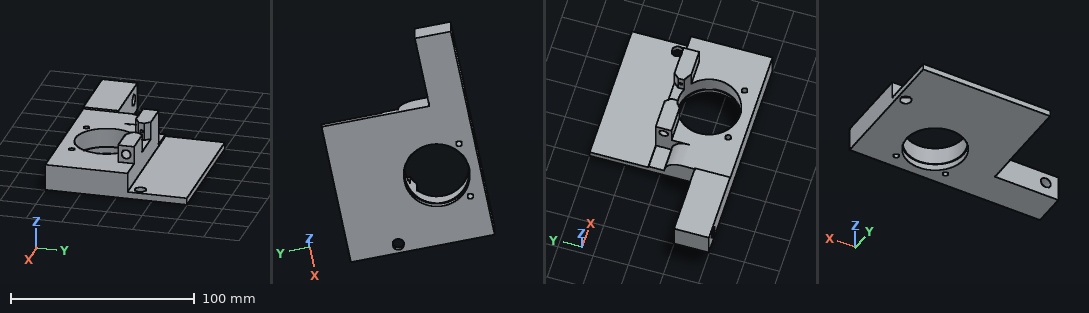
import cadquery as cq
import math

plate_x = 40.0
plate_length = 80.0
plate_width = 80.0
plate_thickness = 4.0
body_depth = 46.5
body_height = 15.0

arm_length = plate_x
arm_width = 20.0
arm_height = 16.0
clearance_diameter = 6.2
arm_hole_x = 8.0
arm_hole_z = 9.0

bore_x = plate_x + plate_length / 2
bore_y = 24.0
bore_diameter = 35.0
recess_diameter = 36.0
recess_depth = 4.0
screw_diameter = 3.11
screw_offset = 15.5

plate_hole_x = 115.0
plate_hole_y = 52.5

post_inner = 6.7
post_outer = 26.1
post_front = 37.5
post_top = 25.0
post_chamfer_x = 2.5
post_chamfer_y = 3.0
pocket_diameter = 5.0
pinhole_diameter = 1.5
pinhole_y = (post_front + body_depth) / 2
pinhole_z = 20.0
pocket_depth = 15.0

notch_floor = 5.0
notch_radius = body_height - notch_floor


def box(x0, x1, y0, y1, z0, z1):
    """Box given by its limits along each axis."""
    return cq.Workplane("XY").box(x1 - x0, y1 - y0, z1 - z0, centered=False).translate((x0, y0, z0))


def vertical_hole(x, y, diameter, z0, z1):
    """Cylinder along Z, used as a cutter."""
    return cq.Workplane("XY", origin=(x, y, z0)).circle(diameter / 2).extrude(z1 - z0)


def post(side):
    """Post on one side of the bore: -1 towards -X, +1 towards +X."""
    inner = bore_x + side * post_inner
    outer = bore_x + side * post_outer
    outline = [
        (inner, post_front),
        (outer, post_front),
        (outer, body_depth),
        (inner + side * post_chamfer_x, body_depth),
        (inner, body_depth - post_chamfer_y),
    ]
    return (
        cq.Workplane("XY", origin=(0, 0, body_height))
        .polyline(outline)
        .close()
        .extrude(post_top - body_height)
    )


def post_holes(side):
    """Pocket from the outer end of a post and a pinhole through to its inner end."""
    start = (bore_x + side * post_outer, pinhole_y, pinhole_z)
    end_face = cq.Workplane("YZ", origin=start)
    pocket = end_face.circle(pocket_diameter / 2).extrude(-side * pocket_depth)
    pinhole = end_face.circle(pinhole_diameter / 2).extrude(-side * (post_outer - post_inner))
    return pocket.union(pinhole)


def notch():
    """Notch between the plate edge and the -X post, over a convex quarter round."""
    round_front = post_front - notch_radius
    diagonal = notch_radius * math.sqrt(0.5)
    return (
        cq.Workplane("YZ", origin=(plate_x, 0, 0))
        .moveTo(round_front, body_height)
        .threePointArc((round_front + diagonal, notch_floor + diagonal), (post_front, notch_floor))
        .lineTo(body_depth, notch_floor)
        .lineTo(body_depth, body_height)
        .close()
        .extrude(bore_x - post_outer - plate_x)
    )


plate_end = plate_x + plate_length
result = box(plate_x, plate_end, 0, plate_width, 0, plate_thickness)
result = result.union(box(plate_x, plate_end, 0, body_depth, 0, body_height))
result = result.union(box(0, arm_length, 0, arm_width, 0, arm_height))
result = result.cut(notch())

for side in (-1, 1):
    result = result.union(post(side))
    result = result.cut(post_holes(side))
    screw_x = bore_x + side * screw_offset
    result = result.cut(vertical_hole(screw_x, bore_y - screw_offset, screw_diameter, 0, body_height))

result = result.cut(vertical_hole(bore_x, bore_y, bore_diameter, 0, post_top))
result = result.cut(vertical_hole(bore_x, bore_y, recess_diameter, 0, recess_depth))
result = result.cut(vertical_hole(plate_hole_x, plate_hole_y, clearance_diameter, 0, plate_thickness))

arm_hole = (
    cq.Workplane("XZ", origin=(arm_hole_x, 0, arm_hole_z))
    .circle(clearance_diameter / 2)
    .extrude(-arm_width)
)
result = result.cut(arm_hole)